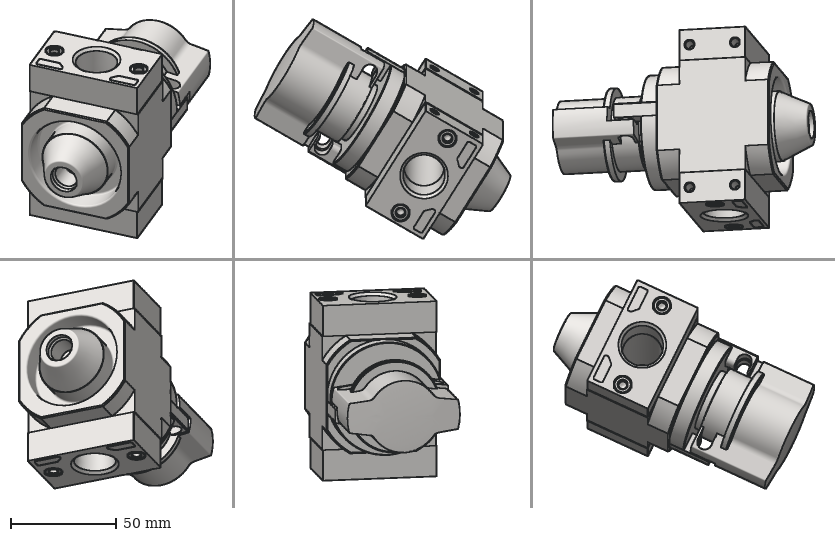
import cadquery as cq
import math


BLOCK_SIDE = 55.2
BLOCK_BACK = 27.3
BLOCK_FRONT = -27.7
CORNER_RADIUS = 31.9
END_CHAMFER = 0.6
BAND_LENGTH = 32.0

RECESS_DIAMETER = 46.6
RECESS_DEPTH = 10.9
RECESS_EDGE = 1.0
NOSE_TIP = -42.2
NOSE_DIAMETER = 33.6
NOSE_TIP_DIAMETER = 19.9
NOSE_TIP_FILLET = 0.7
NOSE_CONE_LENGTH = 15.0
EXHAUST_MOUTH_DIAMETER = 13.3
EXHAUST_MOUTH_DEPTH = 2.4
EXHAUST_DIAMETER = 11.4
EXHAUST_DEPTH = 14.5

PLATE_THICKNESS = 14.9
PLATE_SHIFT = -0.4
PLATE_CHAMFER = 0.2
PORT_MOUTH_DIAMETER = 22.8
PORT_DIAMETER = 19.9
PORT_INNER_DIAMETER = 19.2
PORT_CHAMFER_DEPTH = 1.5
SIDE_HOLE_DIAMETER = 4.1
SIDE_HOLE_MOUTH = 5.0
SIDE_HOLE_DEPTH = 9.7
SIDE_HOLE_OFFSET = 11.0
LABEL_DEPTH = 0.2
LABEL_FILLET = 0.8
LABEL_OUTER = 25.3
LABEL_INNER = 12.2
LABEL_SLANT_START = 15.2
LABEL_BACK = -9.1
LABEL_SLANT_END = -12.0
LABEL_FRONT = -14.0

SCREW_OFFSET = 21.6
SCREW_HOLE_DIAMETER = 8.7
SCREW_HEAD_DIAMETER = 8.0
SCREW_HEAD_CHAMFER = 0.2
SCREW_HEAD_LENGTH = 4.9
SCREW_HEAD_SINK = 0.2
SCREW_SHANK_DIAMETER = 5.0
SCREW_GRIP = 9.7
SOCKET_MOUTH = 5.0
SOCKET_DIAMETER = 4.1
SOCKET_DEPTH = 2.4

BONNET_DIAMETER = 54.8
BONNET_BACK = 35.0
BONNET_CHAMFER = 0.4
NECK_DIAMETER = 30.3
ARM_BACK = 47.9
ARM_OUTER = 27.4
ARM_INNER = 18.0
ARM_BOTTOM = 1.3
ARM_TIP_HEIGHT = 7.8
ARM_CHAMFER = 0.5
ARM_FILLET = 2.3

KNOB_FRONT = 38.5
RING_FRONT = 51.3
RING_BACK = 54.6
OVERALL_LENGTH = 121.3
KNOB_BACK = NOSE_TIP + OVERALL_LENGTH
HUB_DIAMETER = 35.4
GRIP_DIAMETER = 34.9
RING_DIAMETER = 44.5
RING_CHAMFER = 0.5
WING_RADIUS = 27.3
WING_TIP_HEIGHT = 7.2
WING_TIP_FILLET = 0.7
WING_SLOPE = 0.13
WING_FILLET = 4.2
DOME_RADIUS = 276.5

SLOT_WIDTH = 7.0
SLOT_Y = 43.3
WING_SLOT_END = 25.2
ARM_SLOT_END = 25.7

HALF_SIDE = BLOCK_SIDE / 2
PLATE_OUTER = HALF_SIDE + PLATE_THICKNESS
BLOCK_LENGTH = BLOCK_BACK - BLOCK_FRONT


def cylinder_y(diameter, start, end):
    """Round bar about the Y axis."""
    return cq.Workplane("XZ", origin=(0, start, 0)).circle(diameter / 2).extrude(start - end)


def half_turn(shape):
    """The same shape turned half a turn about the valve axis."""
    return shape.rotate((0, 0, 0), (0, 1, 0), 180)


def block_box(length):
    """Square bar as wide and as high as the block, centred on the origin."""
    return cq.Workplane("XY").box(BLOCK_SIDE, length, BLOCK_SIDE)


def make_nose():
    cone_start = NOSE_TIP + NOSE_CONE_LENGTH
    tip_radius = NOSE_TIP_DIAMETER / 2
    nose = (
        cq.Workplane("XY")
        .moveTo(0, BLOCK_FRONT + RECESS_DEPTH)
        .lineTo(NOSE_DIAMETER / 2, BLOCK_FRONT + RECESS_DEPTH)
        .lineTo(NOSE_DIAMETER / 2, cone_start)
        .lineTo(tip_radius, NOSE_TIP)
        .lineTo(0, NOSE_TIP)
        .close()
        .revolve(360, (0, 0, 0), (0, 1, 0))
    )
    return nose.faces("<Y").edges().fillet(NOSE_TIP_FILLET)


def make_exhaust_bore():
    step = (EXHAUST_MOUTH_DIAMETER - EXHAUST_DIAMETER) / 2
    mouth_end = NOSE_TIP + EXHAUST_MOUTH_DEPTH
    return (
        cq.Workplane("XY")
        .moveTo(0, NOSE_TIP)
        .lineTo(EXHAUST_MOUTH_DIAMETER / 2, NOSE_TIP)
        .lineTo(EXHAUST_MOUTH_DIAMETER / 2, mouth_end)
        .lineTo(EXHAUST_DIAMETER / 2, mouth_end + step)
        .lineTo(EXHAUST_DIAMETER / 2, NOSE_TIP + EXHAUST_DEPTH)
        .lineTo(0, NOSE_TIP + EXHAUST_DEPTH)
        .close()
        .revolve(360, (0, 0, 0), (0, 1, 0))
    )


def make_recess():
    floor = BLOCK_FRONT + RECESS_DEPTH
    core = cylinder_y(NOSE_DIAMETER, BLOCK_FRONT, floor)
    ring = cylinder_y(RECESS_DIAMETER, BLOCK_FRONT, floor).cut(core)
    return ring.faces(">Y").edges().fillet(RECESS_EDGE)


def build_block():
    middle = (BLOCK_BACK + BLOCK_FRONT) / 2
    ends = block_box(BLOCK_LENGTH).translate((0, middle, 0))
    ends = ends.intersect(cylinder_y(2 * CORNER_RADIUS, BLOCK_FRONT, BLOCK_BACK))
    ends = ends.faces("<Y or >Y").edges().chamfer(END_CHAMFER)
    block = ends.union(block_box(BAND_LENGTH))
    block = block.cut(make_recess())
    recess_mouth = block.faces("<Y").edges("%CIRCLE").edges(cq.selectors.RadiusNthSelector(1))
    block = recess_mouth.fillet(RECESS_EDGE).union(make_nose()).cut(make_exhaust_bore())
    block = block.cut(cq.Workplane("XY").circle(PORT_INNER_DIAMETER / 2).extrude(BLOCK_SIDE, both=True))
    for x in (-SCREW_OFFSET, SCREW_OFFSET):
        for z in (HALF_SIDE - SCREW_GRIP, -HALF_SIDE):
            hole = cq.Workplane("XY", origin=(x, 0, z)).circle(SCREW_SHANK_DIAMETER / 2)
            block = block.cut(hole.extrude(SCREW_GRIP))
    return block


def make_port():
    chamfer_end = PLATE_OUTER - PORT_CHAMFER_DEPTH
    return (
        cq.Workplane("XZ")
        .moveTo(0, PLATE_OUTER)
        .lineTo(PORT_MOUTH_DIAMETER / 2, PLATE_OUTER)
        .lineTo(PORT_DIAMETER / 2, chamfer_end)
        .lineTo(PORT_INNER_DIAMETER / 2, HALF_SIDE)
        .lineTo(0, HALF_SIDE)
        .close()
        .revolve(360, (0, 0, 0), (0, 1, 0))
    )


def make_side_hole(y):
    face_x = PLATE_SHIFT - HALF_SIDE
    mouth = (SIDE_HOLE_MOUTH - SIDE_HOLE_DIAMETER) / 2
    plane = cq.Workplane("YZ", origin=(face_x, y, HALF_SIDE + PLATE_THICKNESS / 2))
    bore = plane.circle(SIDE_HOLE_DIAMETER / 2).extrude(SIDE_HOLE_DEPTH)
    return bore.union(plane.circle(SIDE_HOLE_MOUTH / 2).extrude(mouth, taper=45))


def make_label():
    """Label recess on the -X side of the plate's middle."""
    pocket = (
        cq.Workplane("XY", origin=(0, 0, PLATE_OUTER - LABEL_DEPTH))
        .moveTo(-LABEL_OUTER, LABEL_BACK)
        .lineTo(-LABEL_SLANT_START, LABEL_BACK)
        .lineTo(-LABEL_INNER, LABEL_SLANT_END)
        .lineTo(-LABEL_INNER, LABEL_FRONT)
        .lineTo(-LABEL_OUTER, LABEL_FRONT)
        .close()
        .extrude(LABEL_DEPTH)
    )
    return pocket.edges("|Z").fillet(LABEL_FILLET)


def build_plate():
    """Upper port plate."""
    plate = cq.Workplane("XY").box(BLOCK_SIDE, BAND_LENGTH, PLATE_THICKNESS)
    plate = plate.edges("|Z").chamfer(PLATE_CHAMFER)
    plate = plate.translate((PLATE_SHIFT, 0, HALF_SIDE + PLATE_THICKNESS / 2))
    plate = plate.cut(make_port())
    for y in (-SIDE_HOLE_OFFSET, SIDE_HOLE_OFFSET):
        plate = plate.cut(make_side_hole(y))
    for x in (-SCREW_OFFSET, SCREW_OFFSET):
        shank = cq.Workplane("XY", origin=(x, 0, HALF_SIDE)).circle(SCREW_SHANK_DIAMETER / 2)
        seat = cq.Workplane("XY", origin=(x, 0, PLATE_OUTER)).circle(SCREW_HOLE_DIAMETER / 2)
        plate = plate.cut(shank.extrude(PLATE_THICKNESS))
        plate = plate.cut(seat.extrude(-SCREW_HEAD_SINK - SCREW_HEAD_LENGTH))
    label = make_label()
    for side in (label, label.mirror("YZ")):
        plate = plate.cut(side.translate((PLATE_SHIFT / 2, 0, 0)))
    return plate


def build_screw():
    """Screw of the upper plate, on the Z axis."""
    head_top = PLATE_OUTER - SCREW_HEAD_SINK
    head_bottom = head_top - SCREW_HEAD_LENGTH
    head = cq.Workplane("XY", origin=(0, 0, head_bottom)).circle(SCREW_HEAD_DIAMETER / 2)
    head = head.extrude(SCREW_HEAD_LENGTH).faces(">Z").edges().chamfer(SCREW_HEAD_CHAMFER)
    shank_bottom = HALF_SIDE - SCREW_GRIP
    shank = cq.Workplane("XY", origin=(0, 0, shank_bottom)).circle(SCREW_SHANK_DIAMETER / 2)
    screw = head.union(shank.extrude(head_bottom - shank_bottom))
    lip = (SOCKET_MOUTH - SOCKET_DIAMETER) / 2
    socket = (
        cq.Workplane("XZ")
        .moveTo(0, head_top)
        .lineTo(SOCKET_MOUTH / 2, head_top)
        .lineTo(SOCKET_DIAMETER / 2, head_top - lip)
        .lineTo(SOCKET_DIAMETER / 2, head_top - SOCKET_DEPTH)
        .lineTo(0, head_top - SOCKET_DEPTH - SOCKET_DIAMETER / 4)
        .close()
        .revolve(360, (0, 0, 0), (0, 1, 0))
    )
    return screw.cut(socket)


def make_slot(slot_end):
    """Padlock slot on the -X side, parallel to Z."""
    radius = SLOT_WIDTH / 2
    centre_x = radius - slot_end
    end = cq.Workplane("XY", origin=(centre_x, SLOT_Y, 0)).circle(radius).extrude(BLOCK_SIDE, both=True)
    run = cq.Workplane("XY", origin=(centre_x / 2, SLOT_Y, 0)).rect(-centre_x, SLOT_WIDTH)
    return end.union(run.extrude(BLOCK_SIDE, both=True))


def make_arm():
    """Locking arm on the -X side."""
    inner_height = ARM_TIP_HEIGHT + ARM_CHAMFER + WING_SLOPE * (ARM_OUTER - ARM_CHAMFER - ARM_INNER)
    arm = (
        cq.Workplane("XZ", origin=(0, BLOCK_BACK, 0))
        .moveTo(-ARM_OUTER, ARM_BOTTOM)
        .lineTo(-ARM_OUTER, ARM_TIP_HEIGHT)
        .lineTo(-ARM_OUTER + ARM_CHAMFER, ARM_TIP_HEIGHT + ARM_CHAMFER)
        .lineTo(-ARM_INNER, inner_height)
        .lineTo(-ARM_INNER, ARM_BOTTOM)
        .close()
        .extrude(BLOCK_BACK - ARM_BACK)
    )
    inner_edge = cq.selectors.NearestToPointSelector((-ARM_INNER, (BLOCK_BACK + ARM_BACK) / 2, inner_height))
    return arm.edges("|Y").edges(inner_edge).fillet(ARM_FILLET).cut(make_slot(ARM_SLOT_END))


def build_bonnet():
    disc = cylinder_y(BONNET_DIAMETER, BLOCK_BACK, BONNET_BACK).faces(">Y").edges().chamfer(BONNET_CHAMFER)
    neck = cylinder_y(NECK_DIAMETER, BONNET_BACK, KNOB_FRONT)
    arm = make_arm()
    return disc.union(neck).union(arm).union(half_turn(arm))


def make_wings(start, end):
    """Both wings as one bar across the axis, tapering outwards to rounded tips."""
    tip_x = math.sqrt(WING_RADIUS**2 - WING_TIP_HEIGHT**2)
    root_height = WING_TIP_HEIGHT + WING_SLOPE * tip_x
    bar = (
        cq.Workplane("XZ", origin=(0, start, 0))
        .moveTo(0, root_height)
        .lineTo(tip_x, WING_TIP_HEIGHT)
        .threePointArc((WING_RADIUS, 0), (tip_x, -WING_TIP_HEIGHT))
        .lineTo(0, -root_height)
        .lineTo(-tip_x, -WING_TIP_HEIGHT)
        .threePointArc((-WING_RADIUS, 0), (-tip_x, WING_TIP_HEIGHT))
        .close()
        .extrude(start - end)
    )
    return bar.edges("|Y").edges("<X or >X").fillet(WING_TIP_FILLET)


def make_domed_bar():
    """Round bar as wide as the block, with the knob's slightly domed back end."""
    def dome_y(x):
        return KNOB_BACK - DOME_RADIUS + math.sqrt(DOME_RADIUS**2 - x**2)

    return (
        cq.Workplane("XY")
        .moveTo(0, RING_BACK)
        .lineTo(HALF_SIDE, RING_BACK)
        .lineTo(HALF_SIDE, dome_y(HALF_SIDE))
        .threePointArc((HALF_SIDE / 2, dome_y(HALF_SIDE / 2)), (0, KNOB_BACK))
        .close()
        .revolve(360, (0, 0, 0), (0, 1, 0))
    )


def make_grip():
    """Back stretch of the knob, its wings blended into the round grip."""
    grip = cylinder_y(GRIP_DIAMETER, RING_BACK, KNOB_BACK).union(make_wings(RING_BACK, KNOB_BACK))
    reach = GRIP_DIAMETER / 2
    corners = cq.selectors.BoxSelector((-reach, RING_BACK, -reach), (reach, KNOB_BACK, reach))
    grip = grip.edges("|Y").edges(corners).fillet(WING_FILLET)
    return grip.intersect(make_domed_bar())


def make_front_wings():
    """Wing stretch beside the arms: each wing keeps only the half that clears its arm."""
    wings = make_wings(KNOB_FRONT, RING_BACK)
    arm_space = (
        cq.Workplane("XY")
        .box(BLOCK_SIDE, RING_FRONT - KNOB_FRONT, BLOCK_SIDE, centered=False)
        .translate((-BLOCK_SIDE, KNOB_FRONT, 0))
    )
    wings = wings.cut(arm_space).cut(half_turn(arm_space))
    slot = make_slot(WING_SLOT_END)
    return wings.cut(slot).cut(half_turn(slot))


def build_knob():
    ring = cylinder_y(RING_DIAMETER, RING_FRONT, RING_BACK).faces(">Y").edges().chamfer(RING_CHAMFER)
    hub = cylinder_y(HUB_DIAMETER, KNOB_FRONT, RING_FRONT)
    return make_front_wings().union(hub).union(ring).union(make_grip())


block = build_block()
upper_plate = build_plate()
lower_plate = upper_plate.mirror("XY")
bonnet = build_bonnet()
knob = build_knob()

screws = []
for x in (-SCREW_OFFSET, SCREW_OFFSET):
    screw = build_screw().translate((x, 0, 0))
    screws += [screw, screw.mirror("XY")]

result = cq.Compound.makeCompound([
    block.solids().val(),
    upper_plate.solids().val(),
    lower_plate.solids().val(),
    bonnet.solids().val(),
    knob.solids().val(),
    *[screw.solids().val() for screw in screws],
])